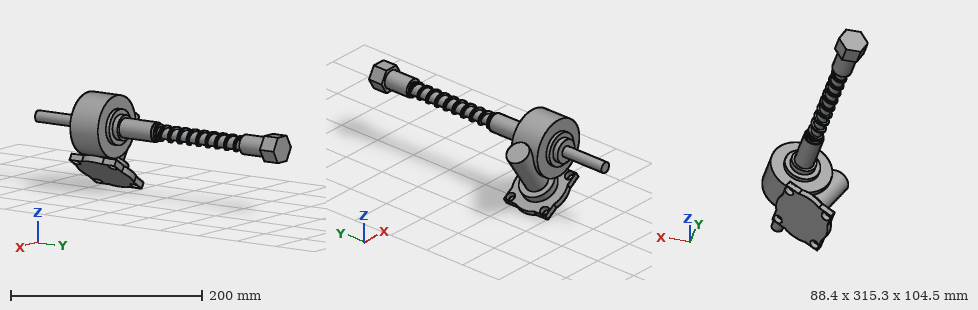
import cadquery as cq

overall_length = 315.3

gearbox_tilt = 33.4
drum_radius = 33.5
drum_half_width = 18.0
collar_radius = 19.2
collar_half_width = 22.5
hub_radius = 13.5
hub_half_width = 28.7
tube_diameter = 26.2
tube_radius = tube_diameter / 2
tube_offset = -33.5
tube_top = 29.0
boss_radius = 20.2
boss_height = 9.0
flange_top = -34.7
flange_thickness = 7.3
flange_half_side = 29.0
flange_disc_radius = 31.8
flange_hole_radius = 5.0
flange_hole_offset = 23.5

rod_diameter = 12.3
rod_radius = rod_diameter / 2
rod_start = -83.2

sleeve_diameter = 21.0
sleeve_radius = sleeve_diameter / 2
sleeve_end = 69.7
shoulder_radius = 9.8
ring_radius = 8.8
ring_end = 74.0
chamfer_start = 72.0
relief_end = 83.5
root_end_diameter = 14.2
root_end_radius = root_end_diameter / 2
crest_diameter = 17.3
crest_radius = crest_diameter / 2
thread_length = 121.0
thread_start = 73.0
thread_turns = 10
thread_pitch = thread_length / thread_turns
ridge_foot_radius = 5.5
ridge_tip_width = 2.0
ridge_base_width = 2.8

nut_start = 184.0
nut_end = rod_start + overall_length
hex_length = 17.5
hex_across_flats = 27.0
hex_across_corners = hex_across_flats * 2 / 3**0.5


def cylinder_along_y(radius, start, end):
    """Cylinder on the drive axis between two stations."""
    return cq.Workplane("XZ", origin=(0, start, 0)).circle(radius).extrude(start - end)


def cylinder_along_tube(radius, bottom, top):
    """Cylinder on the upright axis of the worm tube between two heights."""
    return cq.Workplane("XY", origin=(tube_offset, 0, bottom)).circle(radius).extrude(top - bottom)


def make_flange():
    """Square plate with a slightly larger disc bulging from each side and a hole in each corner."""
    flange_bottom = flange_top - flange_thickness
    side = 2 * flange_half_side
    plate = (
        cq.Workplane("XY", origin=(tube_offset, 0, flange_bottom))
        .rect(side, side)
        .extrude(flange_thickness)
    )
    disc = cylinder_along_tube(flange_disc_radius, flange_bottom, flange_top)
    hole_spacing = 2 * flange_hole_offset
    holes = (
        cq.Workplane("XY", origin=(tube_offset, 0, flange_bottom))
        .rect(hole_spacing, hole_spacing, forConstruction=True)
        .vertices()
        .circle(flange_hole_radius)
        .extrude(flange_thickness)
    )
    return plate.union(disc).cut(holes)


def make_gearbox():
    """Gear drum with stepped hubs, a worm tube beside it, and the mounting flange under the tube."""
    drum = cylinder_along_y(drum_radius, -drum_half_width, drum_half_width)
    collars = cylinder_along_y(collar_radius, -collar_half_width, collar_half_width)
    hubs = cylinder_along_y(hub_radius, -hub_half_width, hub_half_width)
    tube = cylinder_along_tube(tube_radius, flange_top, tube_top)
    boss = cylinder_along_tube(boss_radius, flange_top, flange_top + boss_height)
    bore = cylinder_along_y(rod_radius, -hub_half_width, hub_half_width)
    body = drum.union(collars).union(hubs).union(tube).union(boss).union(make_flange()).cut(bore)
    return body.rotate((0, 0, 0), (0, 1, 0), -gearbox_tilt)


def make_drive_rod():
    """Plain rod that fills the gearbox bore and sticks out of the front hub."""
    return cylinder_along_y(rod_radius, rod_start, hub_half_width)


def make_thread_ridge():
    """Left-handed ridge wound along Y, starting inside the ring and running on past the nut face."""
    helix = cq.Wire.makeHelix(thread_pitch, thread_length, rod_radius, lefthand=True)
    return (
        cq.Workplane("XZ")
        .polyline(
            [
                (ridge_foot_radius, -ridge_base_width / 2),
                (crest_radius, -ridge_tip_width / 2),
                (crest_radius, ridge_tip_width / 2),
                (ridge_foot_radius, ridge_base_width / 2),
            ]
        )
        .close()
        .sweep(cq.Workplane(helix), isFrenet=True)
        .rotate((0, 0, 0), (1, 0, 0), -90)
        .rotate((0, 0, 0), (0, 1, 0), 180)
        .translate((0, thread_start, 0))
    )


def make_screw():
    """Turned sleeve, chamfered ring, relief and slightly tapered root, with the thread cut off at the nut."""
    turned = (
        cq.Workplane("XY")
        .moveTo(0, hub_half_width)
        .lineTo(sleeve_radius, hub_half_width)
        .lineTo(sleeve_radius, sleeve_end)
        .lineTo(shoulder_radius, sleeve_end)
        .lineTo(ring_radius, chamfer_start)
        .lineTo(ring_radius, ring_end)
        .lineTo(rod_radius, ring_end)
        .lineTo(rod_radius, relief_end)
        .lineTo(root_end_radius, nut_start)
        .lineTo(0, nut_start)
        .close()
        .revolve(360, (0, 0, 0), (0, 1, 0))
    )
    thread_overrun = cylinder_along_y(sleeve_radius, nut_start, nut_end)
    return turned.union(make_thread_ridge()).cut(thread_overrun)


def make_coupling_nut():
    """Round sleeve with a hexagon head that has two corners on the X direction."""
    hex_start = nut_end - hex_length
    sleeve = cylinder_along_y(sleeve_radius, nut_start, hex_start)
    head = (
        cq.Workplane("XZ", origin=(0, hex_start, 0))
        .polygon(6, hex_across_corners)
        .extrude(-hex_length)
    )
    return sleeve.union(head)


gearbox = make_gearbox()
drive_rod = make_drive_rod()
screw = make_screw()
coupling_nut = make_coupling_nut()

result = cq.Compound.makeCompound(
    [
        gearbox.solids().val(),
        drive_rod.solids().val(),
        screw.solids().val(),
        coupling_nut.solids().val(),
    ]
)